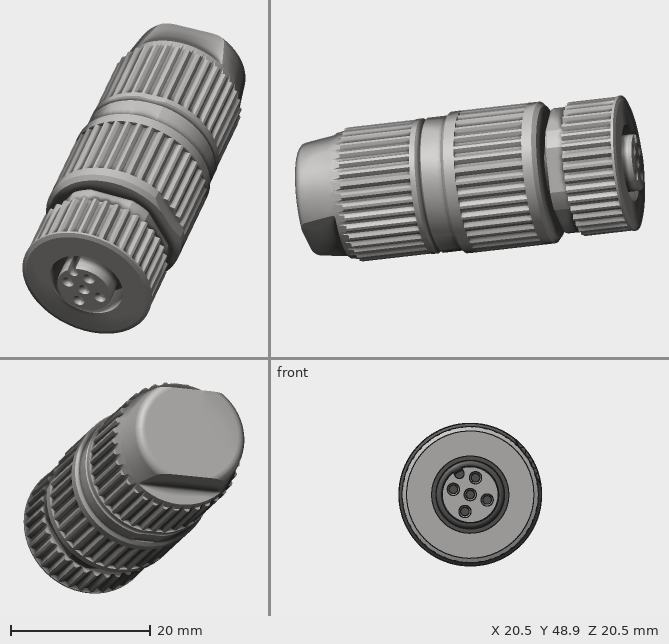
import cadquery as cq
import math


insert_rim_end = 0.5
nut_front = 1.12
nut_collar_front = 1.35
nut_collar_end = 1.7
nut_knurl_end = 9.0
hex_end = 11.55
neck_cone_end = 12.4
sleeve_front = 12.7
sleeve_chamfer_end = 13.3
sleeve_knurl_start = 14.75
sleeve_knurl_end = 24.75
sleeve_rear_edge = 26.3
sleeve_end = 26.8
groove_start = 29.75
groove_bottom = 30.1
groove_end = 30.65
cap_knurl_start = 31.45
cap_knurl_end = 41.8
wrench_flat_start = 43.25
total_length = 48.9

nut_face_radius = 18.3 / 2
nut_collar_radius = 19.55 / 2
nut_knurl_radius = 19.35 / 2
hex_corner_radius = 9.05
hex_flat_distance = 8.45
hex_chamfer_length = 0.3
hex_chamfer_depth = 0.1
nut_tilt = -2.3
bore_radius = 11.1 / 2
bore_depth = 5.85

insert_radius = 8.2 / 2
insert_rim_radius = 8.0 / 2
seal_outer_radius = 9.9 / 2
seal_section_radius = 0.65
pin_circle_radius = 2.55
pin_angle = -17.5
pin_count = 4
pin_mouth_radius = 1.75 / 2
pin_mouth_depth = 0.75
pin_hole_radius = 1.2 / 2
pin_hole_depth = 4.9
key_angle = 117.5
key_width = 1.35
key_center_radius = 3.35

neck_front_radius = 5.2
neck_rear_radius = 4.65

sleeve_radius = 20.5 / 2
sleeve_front_radius = 9.65
marker_flat_distance = 9.5
marker_flat_angle = 29.5

body_radius = 9.8
groove_radius = 9.1
body_flat_distance = 9.6
cap_knurl_radius = 9.7
cap_front_radius = 9.35
cap_rear_radius = 8.05
cap_edge_fillet = 1.25
wrench_flat_distance = 6.55
wrench_flat_fillet = 0.35

knurl_count = 36
knurl_depth = 0.55
groove_floor_width = 0.35
ridge_width = 0.4


def turned(points):
    """Solid of revolution about Y from (radius, y) points, closed along the axis."""
    outline = [(0, points[0][1])] + points + [(0, points[-1][1])]
    return cq.Workplane("XY").polyline(outline).close().revolve(360, (0, 0), (0, 1))


def cross_section(y_end):
    """Workplane across the axis; extruding from it runs towards the mating face."""
    return cq.Workplane("XZ", origin=(0, y_end, 0))


def polar(radius, angle):
    return radius * math.cos(angle), radius * math.sin(angle)


def knurled_bar(radius, y_start, y_end, tilt=0):
    """Bar with trapezoidal grooves along it; a ridge is centred on the +Z direction."""
    pitch = 2 * math.pi / knurl_count
    root_radius = radius - knurl_depth
    half_mouth = pitch / 2 - math.asin(ridge_width / 2 / radius)
    half_floor = math.asin(groove_floor_width / 2 / root_radius)
    first_groove = math.radians(90 + tilt) + pitch / 2
    outline = cross_section(y_end).moveTo(*polar(radius, first_groove - half_mouth))
    for index in range(knurl_count):
        groove = first_groove + index * pitch
        ridge = groove + pitch / 2
        outline = (
            outline.lineTo(*polar(root_radius, groove - half_floor))
            .lineTo(*polar(root_radius, groove + half_floor))
            .lineTo(*polar(radius, groove + half_mouth))
            .threePointArc(polar(radius, ridge), polar(radius, groove + pitch - half_mouth))
        )
    return outline.close().extrude(y_end - y_start)


def outside_flat(distance, y_start, y_end, angle=90):
    """Cutter that leaves a flat at this distance from the axis, facing the given angle."""
    size = 2 * sleeve_radius
    return (
        cq.Workplane("XY")
        .box(size, y_end - y_start, size, centered=(False, False, True))
        .translate((distance, y_start, 0))
        .rotate((0, 0, 0), (0, 1, 0), -angle)
    )


def coupling_nut():
    front_collar = turned([
        (nut_face_radius, nut_front),
        (nut_collar_radius, nut_collar_front),
        (nut_collar_radius, nut_collar_end),
    ])
    grip = knurled_bar(nut_knurl_radius, nut_collar_end, nut_knurl_end, nut_tilt)
    hexagon = turned([(hex_corner_radius, nut_knurl_end), (hex_corner_radius, hex_end)])
    for side in range(6):
        angle = 90 + nut_tilt + 60 * side
        hexagon = hexagon.cut(outside_flat(hex_flat_distance, nut_knurl_end, hex_end, angle))
    hexagon = hexagon.faces(">Y").chamfer(hex_chamfer_length, hex_chamfer_depth)
    bore = cross_section(bore_depth).circle(bore_radius).extrude(bore_depth)
    return front_collar.union(grip).union(hexagon).cut(bore)


def socket_insert():
    insert = turned([
        (insert_rim_radius, 0),
        (insert_radius, insert_rim_end),
        (insert_radius, bore_depth),
    ])
    pins = [(0, 0)]
    for index in range(pin_count):
        angle = math.radians(pin_angle + 360 / pin_count * index)
        pins.append(polar(pin_circle_radius, angle))
    pin_socket = turned([
        (pin_mouth_radius, 0),
        (pin_hole_radius, pin_mouth_depth),
        (pin_hole_radius, pin_hole_depth),
    ])
    for x, z in pins:
        insert = insert.cut(pin_socket.translate((x, 0, z)))
    slot_span = 2 * (insert_radius - key_center_radius)
    keyway = (
        cross_section(bore_depth)
        .center(*polar(insert_radius, math.radians(key_angle)))
        .slot2D(slot_span + key_width, key_width, key_angle)
        .extrude(bore_depth)
    )
    return insert.cut(keyway)


def seal_ring():
    """Round-section ring around the insert, resting on the floor of the bore."""
    section_center = seal_outer_radius - seal_section_radius
    return (
        cq.Workplane("XY")
        .center(section_center, bore_depth - seal_section_radius / 2)
        .circle(seal_section_radius)
        .revolve(360, (-section_center, 0), (-section_center, 1))
    )


def neck():
    """Tapered throat that joins the hexagon to the sleeve."""
    return turned([
        (neck_front_radius, hex_end),
        (neck_rear_radius, neck_cone_end),
        (neck_rear_radius, sleeve_front),
    ])


def sleeve():
    front_band = turned([
        (sleeve_front_radius, sleeve_front),
        (sleeve_radius, sleeve_chamfer_end),
        (sleeve_radius, sleeve_knurl_start),
    ])
    marker_flat = outside_flat(
        marker_flat_distance, sleeve_front, sleeve_knurl_start, marker_flat_angle
    )
    grip = knurled_bar(sleeve_radius, sleeve_knurl_start, sleeve_knurl_end)
    rear_band = turned([
        (sleeve_radius, sleeve_knurl_end),
        (sleeve_radius, sleeve_rear_edge),
        (body_radius, sleeve_end),
    ])
    return front_band.cut(marker_flat).union(grip).union(rear_band)


def rear_body():
    return turned([
        (body_radius, sleeve_end),
        (body_radius, groove_start),
        (groove_radius, groove_bottom),
        (body_radius, groove_end),
        (body_radius, cap_knurl_start),
    ])


def cable_cap():
    """Knurled grip whose grooves run out into the tapered cable end."""
    blank = turned([
        (cap_knurl_radius, cap_knurl_start),
        (cap_knurl_radius, cap_knurl_end),
        (cap_front_radius, cap_knurl_end),
        (cap_rear_radius, total_length),
    ])
    blank = blank.faces(">Y").edges().fillet(cap_edge_fillet)
    return blank.intersect(knurled_bar(cap_knurl_radius, cap_knurl_start, total_length))


def wrench_flat(side):
    """Cutter for a flat on the cable end, with a rounded inner corner."""
    cutter = outside_flat(wrench_flat_distance, wrench_flat_start, total_length, 90 * side)
    corner = "<Z" if side > 0 else ">Z"
    return cutter.edges("<Y").edges(corner).fillet(wrench_flat_fillet)


result = (
    coupling_nut()
    .union(socket_insert())
    .union(seal_ring())
    .union(neck())
    .union(sleeve())
    .union(rear_body())
    .union(cable_cap())
)
for side in (1, -1):
    result = result.cut(outside_flat(body_flat_distance, sleeve_end, cap_knurl_end, 90 * side))
    result = result.cut(wrench_flat(side))